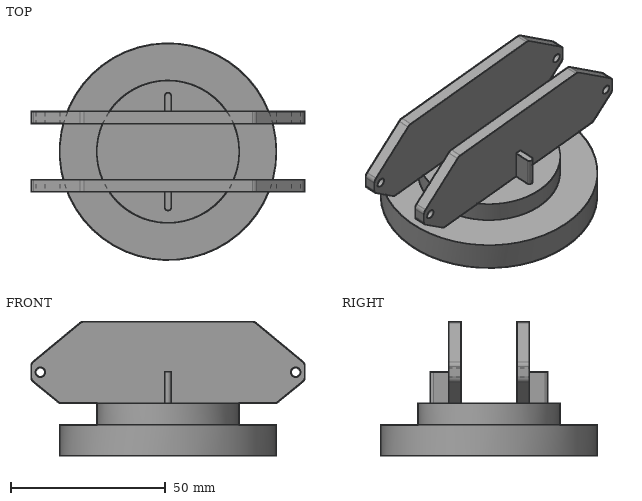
import cadquery as cq

base_diameter = 70.0
base_height = 10.0
boss_diameter = 46.0
boss_height = 7.0

total_height = 43.3
plate_length = 88.4
plate_thickness = 4.0
plate_gap = 18.0
plate_bottom_length = base_diameter
plate_top_length = 55.7
end_low = 7.5
end_high = 12.8
corner_radius = 2.0

hole_diameter = 3.0
hole_spacing = 82.4
hole_height = 10.0

rib_width = 2.0
rib_height = 10.1
rib_reach = 19.0

boss_top = base_height + boss_height
plate_height = total_height - boss_top
plate_outer = plate_gap / 2 + plate_thickness


def make_base():
    """Disc with a smaller concentric boss on top."""
    disc = cq.Workplane("XY").circle(base_diameter / 2).extrude(base_height)
    return disc.faces(">Z").workplane().circle(boss_diameter / 2).extrude(boss_height)


def make_plate():
    """Eight-sided plate on the +Y side, with rounded ends and two pin holes."""
    half_length = plate_length / 2
    half_bottom = plate_bottom_length / 2
    half_top = plate_top_length / 2
    face = cq.Workplane("XZ", origin=(0, plate_outer, boss_top))
    plate = (
        face.polyline([
            (-half_bottom, 0),
            (half_bottom, 0),
            (half_length, end_low),
            (half_length, end_high),
            (half_top, plate_height),
            (-half_top, plate_height),
            (-half_length, end_high),
            (-half_length, end_low),
        ])
        .close()
        .extrude(plate_thickness)
    )
    above_bottom = cq.selectors.BoxSelector(
        (-plate_length, 0, boss_top + end_low / 2),
        (plate_length, base_diameter, total_height + 0.9),
    )
    plate = plate.edges("|Y").edges(above_bottom).fillet(corner_radius)
    holes = (
        face.pushPoints([(-hole_spacing / 2, hole_height), (hole_spacing / 2, hole_height)])
        .circle(hole_diameter / 2)
        .extrude(plate_thickness)
    )
    return plate.cut(holes)


def make_rib():
    """Narrow rib from the +Y plate outward, ending in a half-round tip."""
    half_width = rib_width / 2
    return (
        cq.Workplane("XY", origin=(0, 0, boss_top))
        .moveTo(-half_width, plate_outer)
        .lineTo(-half_width, rib_reach - half_width)
        .threePointArc((0, rib_reach), (half_width, rib_reach - half_width))
        .lineTo(half_width, plate_outer)
        .close()
        .extrude(rib_height)
    )


result = make_base()
side = make_plate().union(make_rib())
for support in (side, side.mirror("XZ")):
    result = result.union(support)